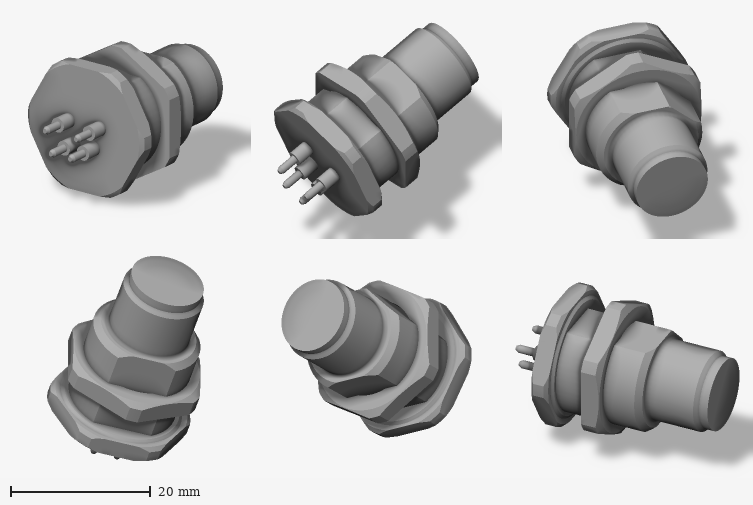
import cadquery as cq
import math


overall_length = 31.4
contact_length = 5.65
nose_end = overall_length - contact_length
nose_rim_length = 1.35
shoulder_y = 16.25
nut_front_y = 7.65
nut_thickness = 2.85
flange_thickness = 2.67
collar_thickness = 0.35
sleeve_length = 2.57

rim_radius = 10.8 / 2
nose_radius = 12.0 / 2
nose_chamfer_length = 0.65
root_fillet = 0.4
body_radius = 8.0
body_chamfer = 0.88
body_flat_distance = 6.75
body_flat_angles = (90, 135, 270)

across_flats = 19.0
nut_radius = 20.98 / 2
nut_face_radius = 9.4
nut_bore_radius = body_radius - body_chamfer
nut_chamfer_length = 0.55
flange_radius = 20.88 / 2
flange_face_radius = 9.85
flange_chamfer_length = 0.5
collar_base_radius = 9.07
collar_top_radius = 8.6

contact_places = 5
empty_place_angle = 90
contact_circle_radius = 2.935
sleeve_radius = 2.2 / 2
pin_radius = 1.2 / 2
pin_tip_radius = 0.35
pin_tip_length = 0.5


def revolve_about_y(profile):
    """Full turn of a closed sketch, drawn as (radius, y), about the Y axis."""
    return profile.close().revolve(360, (0, 0, 0), (0, 1, 0))


def turned(points):
    """Solid of revolution from straight (radius, y) outline points; the outline closes itself."""
    return revolve_about_y(cq.Workplane("XY").polyline(points))


def hexagon(start_y, thickness, corner_angle):
    """Hexagonal prism along +Y with one corner at corner_angle, measured from +X toward +Z."""
    across_corners = across_flats / math.cos(math.radians(30))
    prism = cq.Workplane("XZ").polygon(6, across_corners).extrude(-thickness)
    return prism.rotate((0, 0, 0), (0, 1, 0), -corner_angle).translate((0, start_y, 0))


def make_nose():
    """Plug nose with a stepped rim, blended into the body shoulder by a root fillet."""
    rim_y = nose_end - nose_rim_length
    profile = (
        cq.Workplane("XY")
        .moveTo(0, shoulder_y)
        .lineTo(nose_radius + root_fillet, shoulder_y)
        .radiusArc((nose_radius, shoulder_y + root_fillet), root_fillet)
        .lineTo(nose_radius, rim_y - nose_chamfer_length)
        .lineTo(rim_radius, rim_y)
        .lineTo(rim_radius, nose_end)
        .lineTo(0, nose_end)
    )
    return revolve_about_y(profile)


def make_body():
    """Chamfered round body with flats cut along its whole length."""
    body = turned([
        (0, 0),
        (body_radius, 0),
        (body_radius, shoulder_y - body_chamfer),
        (body_radius - body_chamfer, shoulder_y),
        (0, shoulder_y),
    ])
    for angle in body_flat_angles:
        cutter = (
            cq.Workplane("XY")
            .box(body_radius, shoulder_y, 2 * body_radius, centered=(False, False, True))
            .translate((body_flat_distance, 0, 0))
            .rotate((0, 0, 0), (0, 1, 0), -angle)
        )
        body = body.cut(cutter)
    return body


def make_nut():
    """Hexagon nut with corners up and down, chamfered on the nose side; its round bore clears the body flats."""
    nut_back_y = nut_front_y + nut_thickness
    envelope = turned([
        (nut_bore_radius, nut_front_y),
        (nut_radius, nut_front_y),
        (nut_radius, nut_back_y - nut_chamfer_length),
        (nut_face_radius, nut_back_y),
        (nut_bore_radius, nut_back_y),
    ])
    return hexagon(nut_front_y, nut_thickness, 90).intersect(envelope)


def make_flange():
    """Hexagon flange with corners to the sides, chamfered on both faces, plus a conical collar."""
    envelope = turned([
        (0, 0),
        (flange_face_radius, 0),
        (flange_radius, flange_chamfer_length),
        (flange_radius, flange_thickness - flange_chamfer_length),
        (flange_face_radius, flange_thickness),
        (0, flange_thickness),
    ])
    collar = turned([
        (0, 0),
        (collar_base_radius, 0),
        (collar_base_radius, flange_thickness),
        (collar_top_radius, flange_thickness + collar_thickness),
        (0, flange_thickness + collar_thickness),
    ])
    return hexagon(0, flange_thickness, 0).intersect(envelope).union(collar)


def make_contact(angle):
    """Sleeve and tapered pin, rooted inside the flange."""
    contact = turned([
        (0, flange_thickness),
        (sleeve_radius, flange_thickness),
        (sleeve_radius, -sleeve_length),
        (pin_radius, -sleeve_length),
        (pin_radius, pin_tip_length - contact_length),
        (pin_tip_radius, -contact_length),
        (0, -contact_length),
    ])
    x = contact_circle_radius * math.cos(math.radians(angle))
    z = contact_circle_radius * math.sin(math.radians(angle))
    return contact.translate((x, 0, z))


result = make_body().union(make_nose()).union(make_nut()).union(make_flange())
for place in range(1, contact_places):
    result = result.union(make_contact(empty_place_angle + place * 360 / contact_places))